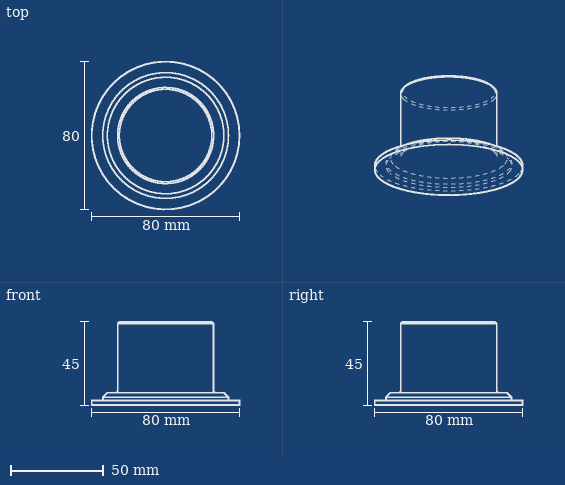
import cadquery as cq

disc_diameter = 80.0
rim_thickness = 2.6
rim_slope_drop = 0.12
seat_height = rim_thickness - rim_slope_drop

total_height = 45.0
collar_diameter = 68.0
collar_top = 6.8
collar_chamfer = 2.5
cylinder_diameter = 52.0
top_chamfer = 1.0
root_fillet = 0.75

disc_radius = disc_diameter / 2
collar_radius = collar_diameter / 2
cylinder_radius = cylinder_diameter / 2


def revolve_about_z(profile):
    """Turn a closed half-profile, drawn in the XZ plane, about the Z axis."""
    return profile.revolve(360, (0, 0, 0), (0, 1, 0))


def make_base_disc():
    """Flat-bottomed disc with a shallow conical rim around the collar seat."""
    profile = (
        cq.Workplane("XZ")
        .lineTo(disc_radius, 0)
        .lineTo(disc_radius, rim_thickness)
        .lineTo(collar_radius, seat_height)
        .lineTo(0, seat_height)
        .close()
    )
    return revolve_about_z(profile)


def make_stepped_post():
    """Collar and cylinder in one piece, standing on the disc's seat."""
    root_arc_middle = root_fillet * (1 - 0.5**0.5)
    profile = (
        cq.Workplane("XZ")
        .moveTo(0, seat_height)
        .lineTo(collar_radius, seat_height)
        .lineTo(collar_radius, collar_top - collar_chamfer)
        .lineTo(collar_radius - collar_chamfer, collar_top)
        .lineTo(cylinder_radius + root_fillet, collar_top)
        .threePointArc(
            (cylinder_radius + root_arc_middle, collar_top + root_arc_middle),
            (cylinder_radius, collar_top + root_fillet),
        )
        .lineTo(cylinder_radius, total_height - top_chamfer)
        .lineTo(cylinder_radius - top_chamfer, total_height)
        .lineTo(0, total_height)
        .close()
    )
    return revolve_about_z(profile)


base_disc = make_base_disc()
stepped_post = make_stepped_post()

result = cq.Compound.makeCompound([base_disc.val(), stepped_post.val()])